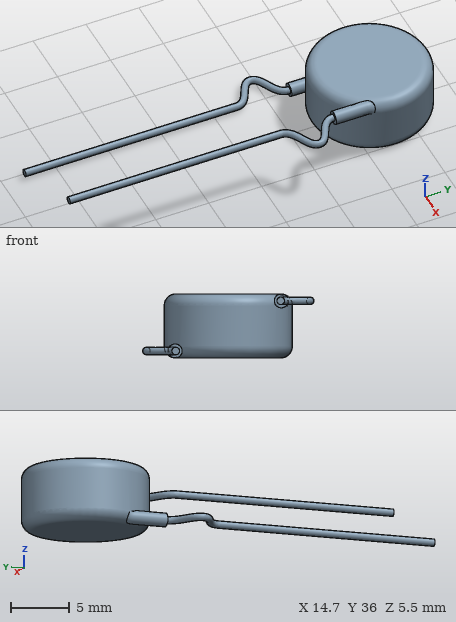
import cadquery as cq

disc_diameter = 11.0
disc_thickness = 5.5
disc_edge_radius = 1.0

sleeve_diameter = 1.2
sleeve_offset_x = 4.55
elbow_start_y = -2.4
elbow_radius = 0.62
sleeve_tip_y = -disc_diameter / 2

lead_diameter = 0.65
lead_offset_x = 4.5
lead_span_x = 14.69
kink_length = 5.0
kink_root_handle = 1.4
kink_peak_handle = 1.08
straight_length = 20.0
kink_peak_x = (lead_span_x - lead_diameter) / 2
kink_peak_y = sleeve_tip_y - kink_length / 2
kink_end_y = sleeve_tip_y - kink_length
lead_tip_y = kink_end_y - straight_length

sides = (1, -1)
sleeve_height = (disc_thickness - sleeve_diameter) / 2


def make_sleeve(side):
    """Round sleeve along Y, flush with one flat face of the disc, elbowed towards its mid-plane."""
    z = side * sleeve_height
    path = (
        cq.Workplane("YZ", origin=(side * sleeve_offset_x, 0, 0))
        .moveTo(sleeve_tip_y, z)
        .lineTo(elbow_start_y, z)
        .tangentArcPoint((elbow_radius, -side * elbow_radius))
    )
    return (
        cq.Workplane("XZ", origin=(side * sleeve_offset_x, sleeve_tip_y, z))
        .circle(sleeve_diameter / 2)
        .sweep(path)
    )


def make_housing():
    """Rounded disc with a sleeve for each lead."""
    housing = (
        cq.Workplane("XY", origin=(0, 0, -disc_thickness / 2))
        .circle(disc_diameter / 2)
        .extrude(disc_thickness)
        .edges("%CIRCLE")
        .fillet(disc_edge_radius)
    )
    for side in sides:
        housing = housing.union(make_sleeve(side), clean=False)
    return housing


def make_lead(side):
    """Round wire from the sleeve tip, out through the kink and straight down to its end."""
    z = side * sleeve_height
    start = cq.Vector(side * lead_offset_x, sleeve_tip_y, z)
    peak = cq.Vector(side * kink_peak_x, kink_peak_y, z)
    kink_end = cq.Vector(side * lead_offset_x, kink_end_y, z)
    tip = cq.Vector(side * lead_offset_x, lead_tip_y, z)
    root_step = cq.Vector(0, -kink_root_handle, 0)
    peak_step = cq.Vector(0, -kink_peak_handle, 0)
    path = cq.Wire.assembleEdges([
        cq.Edge.makeBezier([start, start + root_step, peak - peak_step, peak]),
        cq.Edge.makeBezier([peak, peak + peak_step, kink_end - root_step, kink_end]),
        cq.Edge.makeLine(kink_end, tip),
    ])
    return (
        cq.Workplane("XZ", origin=start.toTuple())
        .circle(lead_diameter / 2)
        .sweep(cq.Workplane(path))
    )


housing = make_housing()
leads = [make_lead(side) for side in sides]
result = cq.Compound.makeCompound([housing.val(), *[lead.val() for lead in leads]])